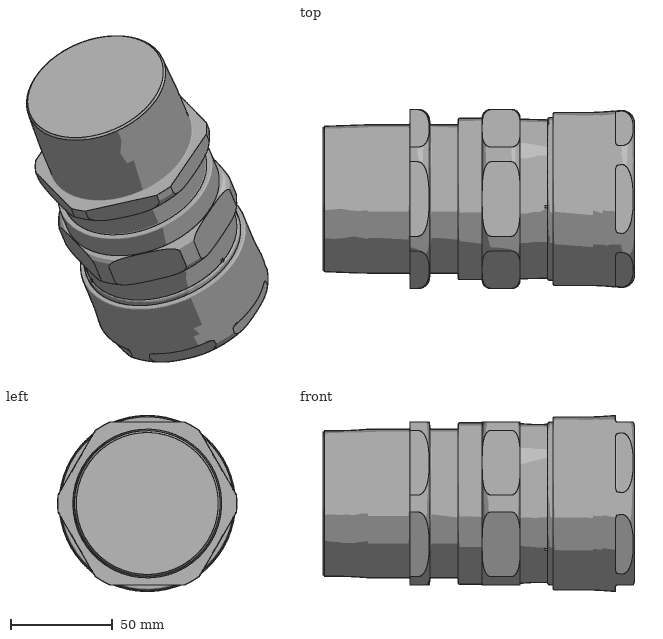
import cadquery as cq
import math


hex_sides = 6
hex_flats = 80.0
hex_corner_radius = 88.0 / 2
hex_points_diameter = hex_flats / math.cos(math.pi / hex_sides)

thread_radius = 73.0 / 2
lead_radius = 71.5 / 2
lead_chamfer = 0.9
lead_end = 22.3
flange_start = 42.7
flange_end = 52.5
flange_round = 5.8
flange_face_fillet = 0.5
neck_radius = thread_radius
neck_start_fillet = 0.9
neck_end_fillet = 0.3

coupling_start = 66.4
coupling_radius = 79.2 / 2
coupling_round = 0.8

nut_start = 78.2
nut_end = 96.8
nut_round = 4.3

sleeve_end = 110.1
sleeve_start_radius = 78.5 / 2
sleeve_end_radius = 77.7 / 2

seal_radius = 80.0 / 2
seal_round = 1.4

cap_start = 112.9
cap_end = 153.0
cap_radius = 85.0 / 2
cap_start_round = 0.9
flare_start = 132.6
flare_end = 137.4
flare_radius = 85.5 / 2
cap_rim_radius = 86.9 / 2
cap_rim_round = 6.5
cap_flat_start = 143.5
cap_flat_fillet = 1.0
cap_flat_clearance = 3.0

pin_count = 3
pin_diameter = 1.4
pin_start = 108.9
pin_end = 111.5
pin_circle_radius = 38.5
pin_first_angle = 95.6


def revolve_about_x(profile):
    """Close an outline of (X, radius) points on the axis and turn it about X."""
    return profile.close().revolve(360, (0, 0, 0), (1, 0, 0))


def hex_prism(start, end):
    """Hexagonal bar between two X positions."""
    return (
        cq.Workplane("YZ")
        .workplane(offset=start)
        .polygon(hex_sides, hex_points_diameter)
        .extrude(end - start)
    )


def rounded_disc(start, end, radius, start_round, end_round):
    """Disc whose two rims are rounded; a zero leaves the rim sharp."""
    disc = cq.Workplane("YZ").workplane(offset=start).circle(radius).extrude(end - start)
    if start_round:
        disc = disc.faces("<X").edges().fillet(start_round)
    if end_round:
        disc = disc.faces(">X").edges().fillet(end_round)
    return disc


def make_entry_body():
    spigot_profile = (
        cq.Workplane("XY")
        .moveTo(0, 0)
        .lineTo(0, lead_radius - lead_chamfer)
        .lineTo(lead_chamfer, lead_radius)
        .lineTo(lead_end, thread_radius)
        .lineTo(flange_start - flange_face_fillet, thread_radius)
        .radiusArc((flange_start, thread_radius + flange_face_fillet), -flange_face_fillet)
        .lineTo(flange_end, neck_radius + neck_start_fillet)
        .radiusArc((flange_end + neck_start_fillet, neck_radius), -neck_start_fillet)
        .lineTo(coupling_start - neck_end_fillet, neck_radius)
        .radiusArc((coupling_start, neck_radius + neck_end_fillet), -neck_end_fillet)
        .lineTo(coupling_start, 0)
    )
    turned_blank = rounded_disc(flange_start, flange_end, hex_corner_radius, 0, flange_round)
    flange = hex_prism(flange_start, flange_end).intersect(turned_blank)
    return revolve_about_x(spigot_profile).union(flange)


def make_coupling_ring():
    return rounded_disc(coupling_start, nut_start, coupling_radius, coupling_round, 0)


def make_nut():
    turned_blank = rounded_disc(nut_start, nut_end, hex_corner_radius, nut_round, nut_round)
    return hex_prism(nut_start, nut_end).intersect(turned_blank)


def make_pins():
    length = pin_end - pin_start
    pins = []
    for index in range(pin_count):
        angle = math.radians(pin_first_angle + index * 360 / pin_count)
        y = pin_circle_radius * math.cos(angle)
        z = pin_circle_radius * math.sin(angle)
        pin = (
            cq.Workplane("YZ")
            .workplane(offset=pin_start)
            .center(y, z)
            .circle(pin_diameter / 2)
            .extrude(length)
        )
        pins.append(pin)
    return pins


def cut_pin_holes(body, pins):
    for pin in pins:
        body = body.cut(pin)
    return body


def make_sleeve(pins):
    profile = (
        cq.Workplane("XY")
        .moveTo(nut_end, 0)
        .lineTo(nut_end, sleeve_start_radius)
        .lineTo(sleeve_end, sleeve_end_radius)
        .lineTo(sleeve_end, 0)
    )
    return cut_pin_holes(revolve_about_x(profile), pins)


def make_seal_ring(pins):
    ring = rounded_disc(sleeve_end, cap_start, seal_radius, seal_round, 0)
    return cut_pin_holes(ring, pins)


def make_flat_cutter():
    """Block that mills the top flat of the cap, leaving a small fillet at the shoulder."""
    flat_level = hex_flats / 2
    profile = (
        cq.Workplane("XZ")
        .moveTo(cap_end, flat_level)
        .lineTo(cap_flat_start + cap_flat_fillet, flat_level)
        .radiusArc((cap_flat_start, flat_level + cap_flat_fillet), cap_flat_fillet)
        .lineTo(cap_flat_start, cap_radius + cap_flat_clearance)
        .lineTo(cap_end, cap_radius + cap_flat_clearance)
        .close()
    )
    return profile.extrude(cap_radius, both=True)


def make_cap():
    round_start = cap_end - cap_rim_round
    profile = (
        cq.Workplane("XY")
        .moveTo(cap_start, 0)
        .lineTo(cap_start, cap_radius - cap_start_round)
        .radiusArc((cap_start + cap_start_round, cap_radius), cap_start_round)
        .lineTo(flare_start, cap_radius)
        .lineTo(flare_end, flare_radius)
        .lineTo(round_start, cap_rim_radius)
        .radiusArc((cap_end, cap_rim_radius - cap_rim_round), cap_rim_round)
        .lineTo(cap_end, 0)
    )
    cap = revolve_about_x(profile)
    for index in range(hex_sides):
        angle = index * 360 / hex_sides
        cap = cap.cut(make_flat_cutter().rotate((0, 0, 0), (1, 0, 0), angle))
    return cap


pins = make_pins()
entry_body = make_entry_body()
coupling_ring = make_coupling_ring()
nut = make_nut()
sleeve = make_sleeve(pins)
seal_ring = make_seal_ring(pins)
cap = make_cap()

result = cq.Compound.makeCompound(
    [
        entry_body.val(),
        coupling_ring.val(),
        nut.val(),
        sleeve.val(),
        seal_ring.val(),
        cap.val(),
        *[pin.val() for pin in pins],
    ]
)